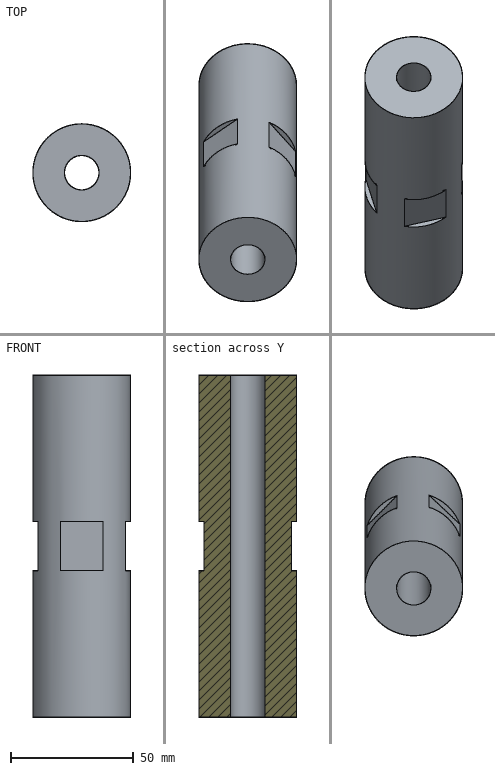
import cadquery as cq

length = 140.0
outer_diameter = 40.0
bore_diameter = 14.0
across_flats = 36.0
flat_height = 20.0

bar = cq.Workplane("XY").circle(outer_diameter / 2).circle(bore_diameter / 2).extrude(length / 2, both=True)

flat_cutter = (
    cq.Workplane("XY")
    .rect(2 * outer_diameter, 2 * outer_diameter)
    .rect(across_flats, across_flats)
    .extrude(flat_height / 2, both=True)
)

result = bar.cut(flat_cutter)